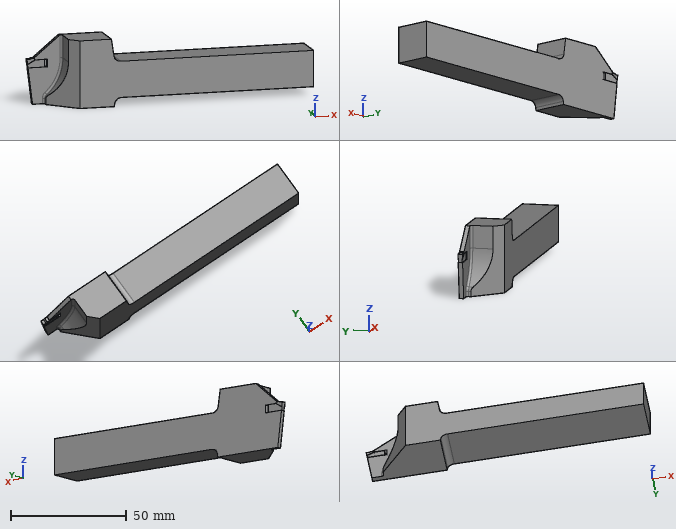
import cadquery as cq
import math


length = 124.9
thickness = 16.1
shank_top = 20.0
shank_bottom = shank_top - thickness
head_height = 30.0
head_top_left = 14.6
head_top_right = 34.1
head_bottom_right = 35.3
root_top_x = 35.6
root_bottom_x = 36.0
root_radius = 3.0
blade_foot_x = 2.5
bevel = 20.0

blade_thickness = 2.0
floor_y = thickness - blade_thickness
relief_wall_x = 15.9
relief_large_radius = 21.0
relief_small_radius = 2.5
relief_foot_x = 7.9
relief_floor_radius = 1.0
margin = 6.2

slot_bottom = 16.2
slot_top = 19.6
slot_end = 9.1
insert_end = 8.0
land_length = 1.4
chip_step_end = 2.0
chip_top = 20.4
tip_back_x = 3.2
tip_heel_x = 3.6
blade_nose_z = 20.6
side_relief = 0.19
tip_lower_z = 17.7


def front_edge_x(z):
    """X of the leaning front edge at height z."""
    return blade_foot_x * (1 - z / shank_top)


def prism(sketch, y_start, y_end):
    """Extrude a closed XZ outline from y_start to y_end."""
    return sketch.extrude(y_start - y_end).translate((0, y_start, 0))


def make_holder_blank():
    outline = (
        cq.Workplane("XZ")
        .moveTo(blade_foot_x, 0)
        .lineTo(head_bottom_right, 0)
        .lineTo(root_bottom_x, shank_bottom)
        .lineTo(length, shank_bottom)
        .lineTo(length, shank_top)
        .lineTo(root_top_x, shank_top)
        .lineTo(head_top_right, head_height)
        .lineTo(head_top_left, head_height)
        .lineTo(tip_back_x, blade_nose_z)
        .lineTo(tip_back_x, chip_top)
        .lineTo(tip_heel_x, slot_top)
        .lineTo(front_edge_x(slot_top), slot_top)
        .close()
    )
    blank = prism(outline, 0, thickness)
    for x, z in ((root_top_x, shank_top), (root_bottom_x, shank_bottom)):
        root_edge = cq.selectors.NearestToPointSelector((x, thickness / 2, z))
        blank = blank.edges("|Y").edges(root_edge).fillet(root_radius)
    return blank


def make_bevel_cutter():
    reach = bevel + margin
    return (
        cq.Workplane("XY")
        .polyline([(reach, -margin), (-margin, reach), (-margin, -margin)])
        .close()
        .extrude(head_height)
        .intersect(cq.Workplane("XY").box(4 * reach, 2 * floor_y, 2 * head_height))
    )


def make_relief_cutter():
    """S-shaped wall: straight, large arc, small reverse arc, straight."""
    large_x = relief_wall_x - relief_large_radius
    small_x = relief_foot_x + relief_small_radius
    centre_distance = relief_large_radius + relief_small_radius
    turn = math.acos((small_x - large_x) / centre_distance)
    small_z = shank_top - centre_distance * math.sin(turn)

    def large_arc(angle):
        return (
            large_x + relief_large_radius * math.cos(angle),
            shank_top - relief_large_radius * math.sin(angle),
        )

    def small_arc(angle):
        return (
            small_x - relief_small_radius * math.cos(angle),
            small_z + relief_small_radius * math.sin(angle),
        )

    outline = (
        cq.Workplane("XZ")
        .moveTo(-margin, head_height + margin)
        .lineTo(relief_wall_x, head_height + margin)
        .lineTo(relief_wall_x, shank_top)
        .threePointArc(large_arc(turn / 2), large_arc(turn))
        .threePointArc(small_arc(turn / 2), small_arc(0))
        .lineTo(relief_foot_x, -margin)
        .lineTo(-margin, -margin)
        .close()
    )
    cutter = prism(outline, -margin, floor_y)
    wall_foot = cq.selectors.BoxSelector(
        (0, floor_y - relief_floor_radius / 2, -2 * margin),
        (length, floor_y + relief_floor_radius / 2, head_height),
    )
    return cutter.edges(wall_foot).fillet(relief_floor_radius)


def make_slot_cutter():
    return (
        cq.Workplane("XY")
        .box(slot_end + margin, thickness + 2 * margin, slot_top - slot_bottom, centered=False)
        .translate((-margin, -margin, slot_bottom))
    )


def make_holder():
    return (
        make_holder_blank()
        .cut(make_bevel_cutter())
        .cut(make_relief_cutter())
        .cut(make_slot_cutter())
        .solids()
    )


def make_insert():
    body_outline = (
        cq.Workplane("XZ")
        .moveTo(front_edge_x(slot_bottom), slot_bottom)
        .lineTo(insert_end, slot_bottom)
        .lineTo(insert_end, slot_top)
        .lineTo(tip_heel_x, slot_top)
        .lineTo(front_edge_x(tip_lower_z), tip_lower_z)
        .close()
    )
    tip_outline = (
        cq.Workplane("XZ")
        .moveTo(front_edge_x(tip_lower_z), tip_lower_z)
        .lineTo(tip_heel_x, slot_top)
        .lineTo(tip_back_x, chip_top)
        .lineTo(chip_step_end, chip_top)
        .lineTo(land_length, shank_top)
        .lineTo(0, shank_top)
        .close()
    )
    body = prism(body_outline, floor_y + side_relief, thickness - side_relief)
    tip = prism(tip_outline, floor_y, thickness)
    return body.union(tip).solids()


holder = make_holder()
insert = make_insert()
result = cq.Compound.makeCompound([holder.val(), insert.val()])